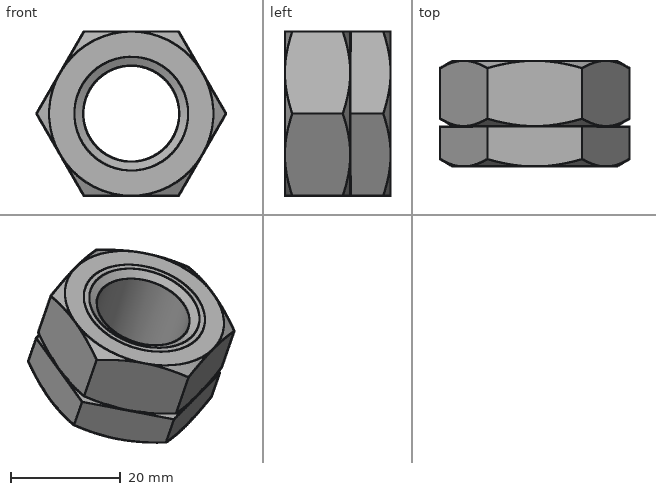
import cadquery as cq
import math

ACROSS_CORNERS = 34.65
CORNER_RADIUS = ACROSS_CORNERS / 2
FLAT_RADIUS = CORNER_RADIUS * math.cos(math.radians(30))

TOTAL_LENGTH = 19.3
RING_LENGTH = 11.9
GAP = 0.1
RING_START = TOTAL_LENGTH - RING_LENGTH
HEAD_LENGTH = RING_START - GAP

BORE_RADIUS = 17.5 / 2
MOUTH_RADIUS = 20.8 / 2
MOUTH_HALF_ANGLE = 60.0
MOUTH_DEPTH = (MOUTH_RADIUS - BORE_RADIUS) / math.tan(math.radians(MOUTH_HALF_ANGLE))
SLEEVE_RADIUS = 22.85 / 2

CHAMFER_ANGLE = 30.0
CHAMFER_DROP = (CORNER_RADIUS - FLAT_RADIUS) * math.tan(math.radians(CHAMFER_ANGLE))


def hexagon(start, length):
    """Hexagonal prism along +Y, with two flats facing up and down."""
    return cq.Workplane("XZ", origin=(0, start, 0)).polygon(6, ACROSS_CORNERS).extrude(-length)


def cylinder(start, length, radius):
    """Round bar along Y; a negative length runs toward -Y."""
    return cq.Workplane("XZ", origin=(0, start, 0)).circle(radius).extrude(-length)


def cone(face, inward, face_radius, inner_radius, depth):
    """Cone frustum that starts on the plane Y = face and runs along inward (+1 or -1)."""
    outline = [
        (0, face),
        (face_radius, face),
        (inner_radius, face + inward * depth),
        (0, face + inward * depth),
    ]
    return cq.Workplane("XY").polyline(outline).close().revolve(360, (0, 0, 0), (0, 1, 0))


def chamfer_corners(body, face, inward):
    """Cut the hexagon corners at the end face Y = face."""
    end_slice = cylinder(face, inward * CHAMFER_DROP, ACROSS_CORNERS)
    kept_cone = cone(face, inward, FLAT_RADIUS, CORNER_RADIUS, CHAMFER_DROP)
    return body.cut(end_slice.cut(kept_cone))


def make_sleeve_nut():
    """Thin hexagonal head with a sleeve that carries the bore right through the ring nut."""
    head = chamfer_corners(hexagon(0, HEAD_LENGTH), 0, 1)
    nut = head.union(cylinder(0, TOTAL_LENGTH, SLEEVE_RADIUS))
    nut = nut.cut(cylinder(0, TOTAL_LENGTH, BORE_RADIUS))
    for face, inward in ((0, 1), (TOTAL_LENGTH, -1)):
        nut = nut.cut(cone(face, inward, MOUTH_RADIUS, BORE_RADIUS, MOUTH_DEPTH))
    return nut


def make_ring_nut():
    """Thick hexagonal ring, chamfered at both ends, that sits on the sleeve behind the head."""
    ring = hexagon(RING_START, RING_LENGTH)
    for face, inward in ((RING_START, 1), (TOTAL_LENGTH, -1)):
        ring = chamfer_corners(ring, face, inward)
    return ring.cut(cylinder(RING_START, RING_LENGTH, SLEEVE_RADIUS))


sleeve_nut = make_sleeve_nut()
ring_nut = make_ring_nut()

result = cq.Compound.makeCompound([sleeve_nut.val(), ring_nut.val()])